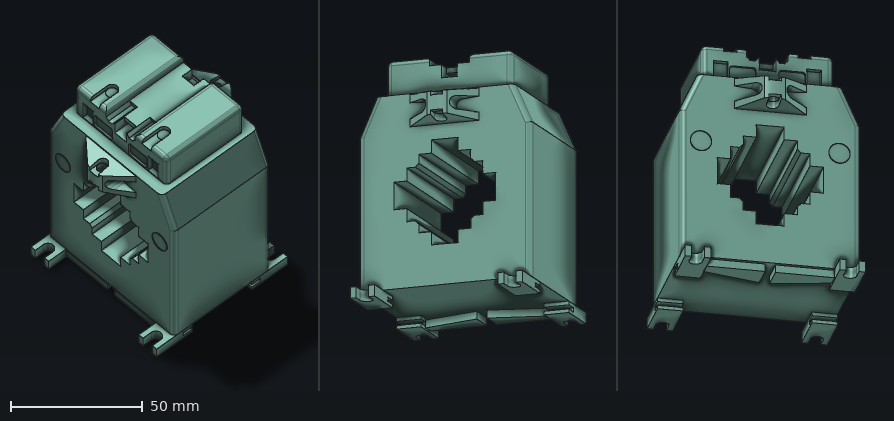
import cadquery as cq

WIDTH = 70.0
DEPTH = 50.0
BASE_Z = 4.5
SHOULDER_Z = 65.3
HOUSING_TOP_Z = 80.5
HOUSING_TOP_WIDTH = 56.4
HOUSING_FILLET = 2.2

WINDOW_Z = 41.0
WINDOW_STEPS = [5.4, 10.5, 15.4, 20.6]
WINDOW_TIP_CHAMFER = 1.4

MARK_RADIUS = 4.1
MARK_X = 26.9
MARK_Z = 52.9
MARK_DEPTH = 0.3

LUG_Z = 73.8
LUG_REACH = 34.065
LUG_BASE_HALF_WIDTH = 14.0
LUG_SHOULDER_HALF_WIDTH = 4.1
LUG_SHOULDER_Y = 33.3
LUG_BASE_HALF_HEIGHT = 6.3
LUG_TIP_HALF_HEIGHT = 4.45
LUG_WEB_HALF_HEIGHT = 2.95
LUG_HOLE_DIAMETER = 4.4
LUG_HOLE_Y = 29.5
LUG_GROOVE_WIDTH = 4.8
LUG_NOTCH_RADIUS = 2.65
LUG_NOTCH_X = 7.5
LUG_NOTCH_MOUTH_HALF_HEIGHT = 3.15

BLOCK_WIDTH = 51.0
BLOCK_DEPTH = 40.1
BLOCK_TOP_Z = 95.5
BLOCK_FILLET = 2.0
CHANNEL_WIDTH = 16.0
CHANNEL_Z = 92.1
GROOVE_LENGTH = 12.0
GROOVE_DEPTH = 1.5
GROOVE_INNER_X = 3.5
GROOVE_FLOOR_WIDTH = 2.0
NOTCH_WIDTH = 6.4
NOTCH_LENGTH = 5.1
NOTCH_Z = 86.9
TUNNEL_TOP_Z = 89.9

SCREW_X = 14.4
SCREW_Y = -11.0
SCREW_DIAMETER = 5.0
SCREW_LENGTH = 3.0
SCREW_RECESS_DEPTH = 2.0
ENTRY_INNER_X = 15.3
ENTRY_WIDTH = 5.6
ENTRY_BOTTOM_Z = 80.9
ENTRY_TOP_Z = 89.1
ENTRY_DEPTH = 2.2
LABEL_WIDTH = 10.2
LABEL_HEIGHT = 6.4
LABEL_X = 9.6
LABEL_Z = 84.4
LABEL_CORNER_RADIUS = 1.2
LABEL_DEPTH = 1.0

FOOT_WIDTH = 10.0
FOOT_OUTER_Y = 34.0
FOOT_INNER_Y = 15.3
FOOT_SLOT_WIDTH = 5.0
FOOT_SLOT_END_Y = 27.2
FOOT_SLIT_END_Y = 20.0
FOOT_SLIT_BOTTOM_Z = 1.4
FOOT_SLIT_TOP_Z = 3.0

PLATE_BOTTOM_Z = 0.7
PLATE_TOP_Z = 3.8
PLATE_GAP = 4.0
PLATE_DEEP_Y = -14.5

LEFT_RIGHT = (-1, 1)


def box(x_start, x_end, y_start, y_end, z_start, z_end):
    """Box between two opposite corners."""
    return cq.Workplane("XY").box(
        x_end - x_start, y_end - y_start, z_end - z_start, centered=False
    ).translate((x_start, y_start, z_start))


def cylinder(radius, x, y, z_start, z_end):
    """Upright cylinder between two heights."""
    return cq.Workplane("XY", origin=(x, y, z_start)).circle(radius).extrude(z_end - z_start)


def along_y(sketch, y_start, y_end):
    """Extrude an outline drawn in X and Z (on the XZ plane) from y_start to y_end."""
    return sketch.extrude(y_start - y_end).translate((0, y_start, 0))


def window_cutter():
    """Four-way staircase opening through the housing, with its diagonal tips bevelled."""
    steps = WINDOW_STEPS
    cutter = None
    for half_width, half_height in zip(steps, reversed(steps)):
        outline = cq.Workplane("XZ").center(0, WINDOW_Z).rect(2 * half_width, 2 * half_height)
        slab = along_y(outline, -DEPTH / 2, DEPTH / 2)
        cutter = slab if cutter is None else cutter.union(slab)
    tip = steps[1]
    far = tip + WINDOW_TIP_CHAMFER
    for x_side in LEFT_RIGHT:
        for z_side in (-1, 1):
            corner = [(tip, tip), (far, tip), (tip, far)]
            points = [(x_side * x, WINDOW_Z + z_side * z) for x, z in corner]
            bevel = cq.Workplane("XZ").polyline(points).close()
            cutter = cutter.union(along_y(bevel, -DEPTH / 2, DEPTH / 2))
    return cutter


def make_lug():
    """Lug on the back face, with a vertical hole, tip grooves and two side notches."""
    wall_y = DEPTH / 2
    plan = (
        cq.Workplane("XY")
        .moveTo(-LUG_BASE_HALF_WIDTH, wall_y)
        .lineTo(-LUG_SHOULDER_HALF_WIDTH, LUG_SHOULDER_Y)
        .threePointArc((0, LUG_REACH), (LUG_SHOULDER_HALF_WIDTH, LUG_SHOULDER_Y))
        .lineTo(LUG_BASE_HALF_WIDTH, wall_y)
        .close()
        .extrude(2 * LUG_BASE_HALF_HEIGHT)
        .translate((0, 0, LUG_Z - LUG_BASE_HALF_HEIGHT))
    )
    side = (
        cq.Workplane("YZ")
        .polyline([
            (wall_y, LUG_Z - LUG_BASE_HALF_HEIGHT),
            (LUG_REACH, LUG_Z - LUG_TIP_HALF_HEIGHT),
            (LUG_REACH, LUG_Z + LUG_TIP_HALF_HEIGHT),
            (wall_y, LUG_Z + LUG_BASE_HALF_HEIGHT),
        ])
        .close()
        .extrude(LUG_BASE_HALF_WIDTH, both=True)
    )
    lug = plan.intersect(side)
    lug_bottom_z = LUG_Z - LUG_BASE_HALF_HEIGHT
    lug_top_z = LUG_Z + LUG_BASE_HALF_HEIGHT

    hole = cylinder(LUG_HOLE_DIAMETER / 2, 0, LUG_HOLE_Y, lug_bottom_z, lug_top_z)
    lug = lug.cut(hole)
    groove_radius = LUG_GROOVE_WIDTH / 2
    web_bottom_z = LUG_Z - LUG_WEB_HALF_HEIGHT
    web_top_z = LUG_Z + LUG_WEB_HALF_HEIGHT
    for z_start, z_end in ((lug_bottom_z, web_bottom_z), (web_top_z, lug_top_z)):
        lug = lug.cut(cylinder(groove_radius, 0, LUG_HOLE_Y, z_start, z_end))
        lug = lug.cut(box(-groove_radius, groove_radius, LUG_HOLE_Y, LUG_REACH, z_start, z_end))

    for side_sign in LEFT_RIGHT:
        mouth_x = side_sign * LUG_BASE_HALF_WIDTH
        center_x = side_sign * LUG_NOTCH_X
        end_x = side_sign * (LUG_NOTCH_X - LUG_NOTCH_RADIUS)
        notch = (
            cq.Workplane("XZ")
            .moveTo(mouth_x, LUG_Z + LUG_NOTCH_MOUTH_HALF_HEIGHT)
            .lineTo(center_x, LUG_Z + LUG_NOTCH_RADIUS)
            .threePointArc((end_x, LUG_Z), (center_x, LUG_Z - LUG_NOTCH_RADIUS))
            .lineTo(mouth_x, LUG_Z - LUG_NOTCH_MOUTH_HALF_HEIGHT)
            .close()
        )
        lug = lug.cut(along_y(notch, wall_y, LUG_REACH))
    return lug


def make_housing():
    """Housing with rounded front and back outlines, window, lugs and marking recesses."""
    outline = cq.Workplane("XZ").polyline([
        (-WIDTH / 2, BASE_Z),
        (WIDTH / 2, BASE_Z),
        (WIDTH / 2, SHOULDER_Z),
        (HOUSING_TOP_WIDTH / 2, HOUSING_TOP_Z),
        (-HOUSING_TOP_WIDTH / 2, HOUSING_TOP_Z),
        (-WIDTH / 2, SHOULDER_Z),
    ]).close()
    housing = along_y(outline, -DEPTH / 2, DEPTH / 2)
    housing = housing.faces("<Y or >Y").edges("not #Z").fillet(HOUSING_FILLET)
    housing = housing.cut(window_cutter())
    back_lug = make_lug()
    housing = housing.union(back_lug).union(back_lug.mirror("XZ"))
    for side in LEFT_RIGHT:
        mark = cq.Workplane("XZ").center(side * MARK_X, MARK_Z).circle(MARK_RADIUS)
        housing = housing.cut(along_y(mark, -DEPTH / 2, -DEPTH / 2 + MARK_DEPTH))
    return housing


def make_screw(side):
    """Plain terminal screw, its head level with the floor of the screw recess."""
    head_z = BLOCK_TOP_Z - SCREW_RECESS_DEPTH
    return cylinder(SCREW_DIAMETER / 2, side * SCREW_X, SCREW_Y, head_z - SCREW_LENGTH, head_z)


def cut_channel_details(block):
    """Cut the end notches, the tunnel joining them and the two grooves of the channel."""
    half_depth = BLOCK_DEPTH / 2
    half_notch = NOTCH_WIDTH / 2
    block = block.cut(box(-half_notch, half_notch, -half_depth, half_depth, NOTCH_Z, TUNNEL_TOP_Z))
    for y_start in (-half_depth, half_depth - NOTCH_LENGTH):
        y_end = y_start + NOTCH_LENGTH
        block = block.cut(box(-half_notch, half_notch, y_start, y_end, NOTCH_Z, CHANNEL_Z))

    outer_x = CHANNEL_WIDTH / 2
    slant = (outer_x - GROOVE_INNER_X - GROOVE_FLOOR_WIDTH) / 2
    floor_z = CHANNEL_Z - GROOVE_DEPTH
    for side in LEFT_RIGHT:
        groove = cq.Workplane("XZ").polyline([
            (side * GROOVE_INNER_X, CHANNEL_Z),
            (side * (GROOVE_INNER_X + slant), floor_z),
            (side * (outer_x - slant), floor_z),
            (side * outer_x, CHANNEL_Z),
        ]).close()
        block = block.cut(along_y(groove, -half_depth, -half_depth + GROOVE_LENGTH))
    return block


def cut_terminal(block, side):
    """Cut the screw recess, screw hole, wire entry and label recess on one side."""
    front_y = -BLOCK_DEPTH / 2
    screw_radius = SCREW_DIAMETER / 2
    screw_x = side * SCREW_X
    recess_z = BLOCK_TOP_Z - SCREW_RECESS_DEPTH
    recess = cylinder(screw_radius, screw_x, SCREW_Y, recess_z, BLOCK_TOP_Z)
    recess = recess.union(box(
        screw_x - screw_radius, screw_x + screw_radius, front_y, SCREW_Y, recess_z, BLOCK_TOP_Z
    ))
    block = block.cut(recess).cut(make_screw(side))

    entry_x = side * (ENTRY_INNER_X + ENTRY_WIDTH / 2)
    block = block.cut(box(
        entry_x - ENTRY_WIDTH / 2, entry_x + ENTRY_WIDTH / 2,
        front_y, front_y + ENTRY_DEPTH, ENTRY_BOTTOM_Z, ENTRY_TOP_Z,
    ))

    label = cq.Workplane("XZ").center(side * LABEL_X, LABEL_Z).rect(LABEL_WIDTH, LABEL_HEIGHT)
    label = along_y(label, front_y, front_y + LABEL_DEPTH).edges("|Y").fillet(LABEL_CORNER_RADIUS)
    return block.cut(label)


def make_block():
    """Terminal block: two rounded towers beside a central channel."""
    half_width = BLOCK_WIDTH / 2
    half_depth = BLOCK_DEPTH / 2
    half_channel = CHANNEL_WIDTH / 2
    block = box(-half_width, half_width, -half_depth, half_depth, HOUSING_TOP_Z, BLOCK_TOP_Z)
    block = block.edges("|Z").fillet(BLOCK_FILLET)
    block = block.cut(box(
        -half_channel, half_channel, -half_depth, half_depth, CHANNEL_Z, BLOCK_TOP_Z
    ))
    block = block.faces(">Z").edges().fillet(BLOCK_FILLET)
    block = cut_channel_details(block)
    for side in LEFT_RIGHT:
        block = cut_terminal(block, side)
    return block


def make_foot(x_side, y_side):
    """Foot with an open fixing slot outside the housing and a flat slit at its inner end."""
    inner_x = WIDTH / 2 - FOOT_WIDTH
    slot_x = WIDTH / 2 - FOOT_WIDTH / 2
    slot_radius = FOOT_SLOT_WIDTH / 2
    slot_center_y = FOOT_SLOT_END_Y + slot_radius
    foot = box(inner_x, WIDTH / 2, FOOT_INNER_Y, FOOT_OUTER_Y, 0, BASE_Z)
    foot = foot.cut(cylinder(slot_radius, slot_x, slot_center_y, 0, BASE_Z))
    foot = foot.cut(box(
        slot_x - slot_radius, slot_x + slot_radius, slot_center_y, FOOT_OUTER_Y, 0, BASE_Z
    ))
    foot = foot.cut(box(
        inner_x, WIDTH / 2, FOOT_INNER_Y, FOOT_SLIT_END_Y, FOOT_SLIT_BOTTOM_Z, FOOT_SLIT_TOP_Z
    ))
    if x_side < 0:
        foot = foot.mirror("YZ")
    if y_side < 0:
        foot = foot.mirror("XZ")
    return foot


def make_plate(side):
    """Plate that starts at the inner side of a front foot and gets deeper towards the middle."""
    foot_x = side * (WIDTH / 2 - FOOT_WIDTH)
    inner_x = side * PLATE_GAP / 2
    return (
        cq.Workplane("XY", origin=(0, 0, PLATE_BOTTOM_Z))
        .polyline([
            (foot_x, -DEPTH / 2),
            (inner_x, -DEPTH / 2),
            (inner_x, PLATE_DEEP_Y),
            (foot_x, -FOOT_SLIT_END_Y),
        ])
        .close()
        .extrude(PLATE_TOP_Z - PLATE_BOTTOM_Z)
    )


housing = make_housing()
terminal_block = make_block()
screws = [make_screw(side) for side in LEFT_RIGHT]
feet = [make_foot(x_side, y_side) for x_side in LEFT_RIGHT for y_side in (-1, 1)]
plates = [make_plate(side) for side in LEFT_RIGHT]

result = cq.Compound.makeCompound([
    housing.val(),
    terminal_block.val(),
    *[screw.val() for screw in screws],
    *[foot.val() for foot in feet],
    *[plate.val() for plate in plates],
])